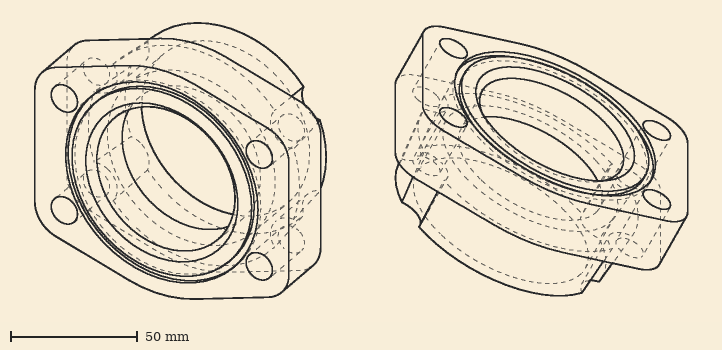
import cadquery as cq
import math

plate_thickness = 25.0
plate_width = 116.0
plate_height = 102.0
bolt_spacing_x = 88.9
bolt_spacing_z = 50.8
bolt_hole_diameter = 12.0
bolt_x = bolt_spacing_x / 2
bolt_z = bolt_spacing_z / 2
disc_radius = plate_height / 2
corner_radius = plate_width / 2 - bolt_x

hub_length = 25.0
hub_taper_angle = math.radians(5.0)
hub_end_radius = 46.0
hub_base_radius = hub_end_radius + hub_length * math.tan(hub_taper_angle)
screw_clearance_radius = 9.5
total_length = plate_thickness + hub_length

bore_diameter = 63.0
bore_chamfer = 3.2
socket_diameter = 76.6
socket_depth = 27.0
groove_outer_diameter = 87.8
groove_inner_diameter = 82.0
groove_depth = 2.0

bolt_points = [(sx * bolt_x, sz * bolt_z) for sx in (-1, 1) for sz in (-1, 1)]


def face_at(y):
    """XZ workplane at the given y; extrude with a negative length to go toward +Y."""
    return cq.Workplane("XZ", origin=(0, y, 0))


def make_plate():
    """Disc and corner arcs joined by their common tangents, drilled at each bolt."""
    bolt_distance = math.hypot(bolt_x, bolt_z)
    bolt_angle = math.atan2(bolt_z, bolt_x)
    tangent_angle = bolt_angle + math.acos((disc_radius - corner_radius) / bolt_distance)
    corner_mid_angle = tangent_angle / 2
    normal_x = math.cos(tangent_angle)
    normal_z = math.sin(tangent_angle)
    disc_x = disc_radius * normal_x
    disc_z = disc_radius * normal_z
    corner_x = bolt_x + corner_radius * normal_x
    corner_z = bolt_z + corner_radius * normal_z
    mid_x = bolt_x + corner_radius * math.cos(corner_mid_angle)
    mid_z = bolt_z + corner_radius * math.sin(corner_mid_angle)
    side_x = plate_width / 2
    outline = (
        face_at(0)
        .moveTo(-disc_x, disc_z)
        .threePointArc((0, disc_radius), (disc_x, disc_z))
        .lineTo(corner_x, corner_z)
        .threePointArc((mid_x, mid_z), (side_x, bolt_z))
        .lineTo(side_x, -bolt_z)
        .threePointArc((mid_x, -mid_z), (corner_x, -corner_z))
        .lineTo(disc_x, -disc_z)
        .threePointArc((0, -disc_radius), (-disc_x, -disc_z))
        .lineTo(-corner_x, -corner_z)
        .threePointArc((-mid_x, -mid_z), (-side_x, -bolt_z))
        .lineTo(-side_x, bolt_z)
        .threePointArc((-mid_x, mid_z), (-corner_x, corner_z))
        .close()
    )
    plate = outline.extrude(-plate_thickness)
    bolt_holes = face_at(0).pushPoints(bolt_points).circle(bolt_hole_diameter / 2).extrude(-plate_thickness)
    return plate.cut(bolt_holes)


def make_hub():
    """Cone with a round relief behind each bolt hole for the screw head."""
    cone = cq.Workplane(
        cq.Solid.makeCone(
            hub_base_radius,
            hub_end_radius,
            hub_length,
            pnt=cq.Vector(0, plate_thickness, 0),
            dir=cq.Vector(0, 1, 0),
        )
    )
    reliefs = face_at(plate_thickness).pushPoints(bolt_points).circle(screw_clearance_radius).extrude(-hub_length)
    return cone.cut(reliefs)


def make_bore():
    """Revolved cutter: chamfered entry, through bore and the wider rear pipe socket."""
    bore_radius = bore_diameter / 2
    socket_radius = socket_diameter / 2
    socket_start = total_length - socket_depth
    profile = [
        (0, 0),
        (bore_radius + bore_chamfer, 0),
        (bore_radius, bore_chamfer),
        (bore_radius, socket_start),
        (socket_radius, socket_start),
        (socket_radius, total_length),
        (0, total_length),
    ]
    return cq.Workplane("XY").polyline(profile).close().revolve(360, (0, 0, 0), (0, 1, 0))


def make_seal_groove():
    """Ring cutter for the seal in the front face."""
    return (
        face_at(0)
        .circle(groove_outer_diameter / 2)
        .circle(groove_inner_diameter / 2)
        .extrude(-groove_depth)
    )


result = make_plate().union(make_hub()).cut(make_bore()).cut(make_seal_groove())